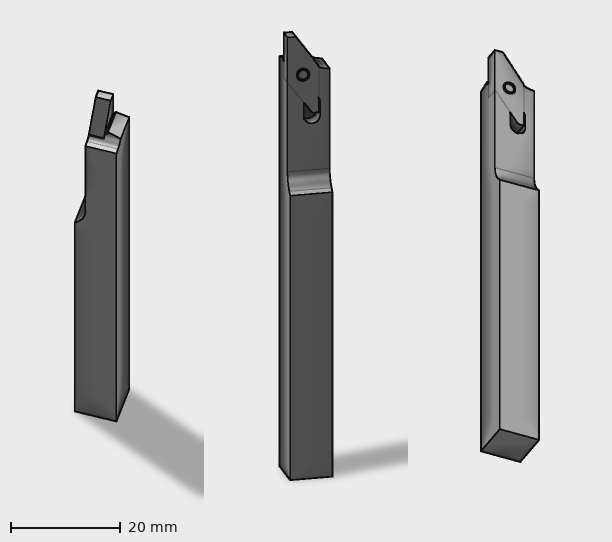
import cadquery as cq
import math

length = 85.0
width = 8.0
relief_depth = 2.0
relief_start = 55.1
relief_radius = 4.7
ramp_angle = math.radians(45)

front_height = 78.3
ramp_end_y = 1.0
ramp_end_z = 78.45
curve_end_y = 3.1
land_height = 80.0
land_outer_height = 79.4
ledge_width = 0.4
ledge_height = 79.6

insert_thickness = 2.9
insert_front_y = 2.1
tip_y = 6.4
nose_z = 79.1
insert_base_z = 70.0
insert_back_z = 76.25
base_corner_y = 3.3
base_corner_radius = 0.7

slot_radius = 1.5
slot_y = 3.36
slot_low_z = 69.5
slot_high_z = 72.0
slot_depth = insert_thickness

screw_y = 5.0
screw_z = 77.5
screw_radius = 0.9
screw_hole_radius = 1.2
ring_depth = 0.2

insert_inner_x = relief_depth + insert_thickness
land_start_x = insert_inner_x + ledge_width


def shank():
    """Square bar whose relieved side runs out in a concave arc and a straight ramp."""
    arc_width = relief_radius * (1 - math.cos(ramp_angle))
    arc_end_x = relief_depth - arc_width
    arc_end_z = relief_start + arc_end_x * math.tan(ramp_angle)
    arc_start_z = arc_end_z + relief_radius * math.sin(ramp_angle)
    return (
        cq.Workplane("XZ")
        .polyline([(0, 0), (width, 0), (width, length), (relief_depth, length), (relief_depth, arc_start_z)])
        .tangentArcPoint((arc_end_x, arc_end_z), relative=False)
        .lineTo(0, relief_start)
        .close()
        .extrude(-width)
    )


def top_profile():
    """Solid below the front ramp and the concave curve that climbs to the rear land."""
    return (
        cq.Workplane("YZ")
        .moveTo(width, 0)
        .lineTo(0, 0)
        .lineTo(0, front_height)
        .lineTo(ramp_end_y, ramp_end_z)
        .tangentArcPoint((curve_end_y, land_height), relative=False)
        .lineTo(width, land_height)
        .close()
        .extrude(width)
    )


def land_profile():
    """Solid below the rear land, which falls outwards, and the ledge beside the insert."""
    return (
        cq.Workplane("XZ")
        .polyline([
            (0, 0),
            (width, 0),
            (width, land_outer_height),
            (land_start_x, land_height),
            (land_start_x, ledge_height),
            (0, ledge_height),
        ])
        .close()
        .extrude(-width)
    )


def insert():
    """Slanted blade with one rounded lower corner."""
    return (
        cq.Workplane("YZ", origin=(relief_depth, 0, 0))
        .polyline([
            (width, length),
            (tip_y, length),
            (insert_front_y, nose_z),
            (insert_front_y, insert_base_z),
            (base_corner_y, insert_base_z),
            (width, insert_back_z),
        ])
        .close()
        .extrude(insert_thickness)
        .edges(cq.selectors.NearestToPointSelector((insert_inner_x - insert_thickness / 2,
                                                    base_corner_y, insert_base_z)))
        .fillet(base_corner_radius)
    )


def release_slot():
    """Round-ended vertical slot cut into the relieved side."""
    return (
        cq.Workplane("YZ", origin=(relief_depth, slot_y, (slot_low_z + slot_high_z) / 2))
        .slot2D(slot_high_z - slot_low_z + 2 * slot_radius, 2 * slot_radius, 90)
        .extrude(slot_depth)
    )


def screw_ring():
    """Shallow annular groove that outlines the screw head."""
    return (
        cq.Workplane("YZ", origin=(relief_depth, screw_y, screw_z))
        .circle(screw_hole_radius)
        .circle(screw_radius)
        .extrude(ring_depth)
    )


holder = shank().intersect(top_profile()).intersect(land_profile()).cut(release_slot())
blade = insert().cut(screw_ring())
result = holder.cut(insert()).union(blade, clean=False)